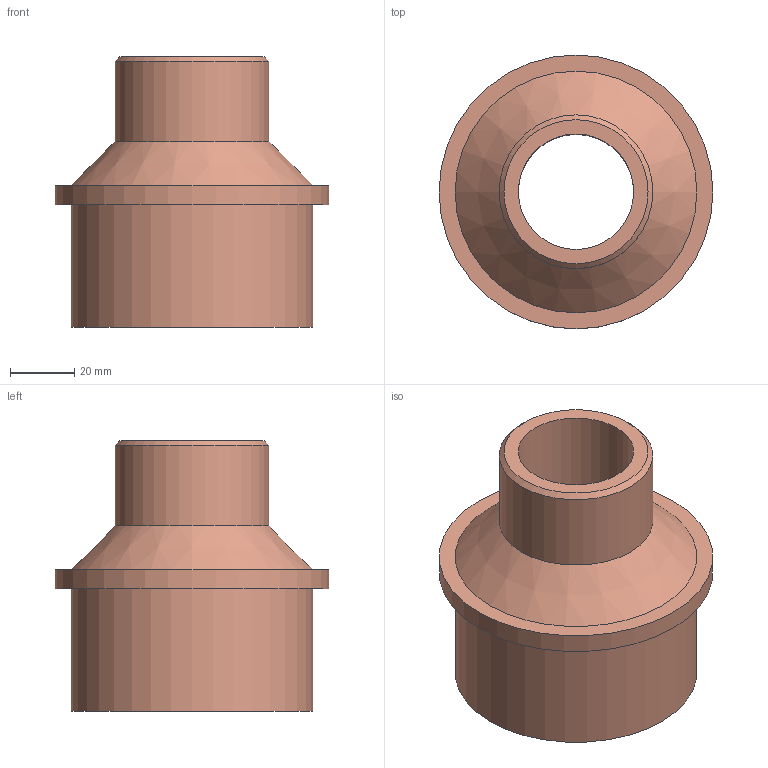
import cadquery as cq

flange_diameter = 85.0
body_diameter = 75.0
neck_diameter = 47.7
bore_diameter = 35.8

total_height = 84.0
body_height = 38.0
flange_thickness = 6.0
neck_chamfer = 1.5

flange_top = body_height + flange_thickness
cone_height = (body_diameter - neck_diameter) / 2
cone_top = flange_top + cone_height


def outer_body():
    """Revolve the stepped outside: body, flange, cone and chamfered neck."""
    body_radius = body_diameter / 2
    flange_radius = flange_diameter / 2
    neck_radius = neck_diameter / 2
    half_profile = (
        cq.Workplane("XZ")
        .moveTo(0, 0)
        .lineTo(body_radius, 0)
        .lineTo(body_radius, body_height)
        .lineTo(flange_radius, body_height)
        .lineTo(flange_radius, flange_top)
        .lineTo(body_radius, flange_top)
        .lineTo(neck_radius, cone_top)
        .lineTo(neck_radius, total_height - neck_chamfer)
        .lineTo(neck_radius - neck_chamfer, total_height)
        .lineTo(0, total_height)
        .close()
    )
    return half_profile.revolve(360, (0, 0, 0), (0, 1, 0))


def through_bore():
    """Straight bore running the full height of the part."""
    return cq.Workplane("XY").circle(bore_diameter / 2).extrude(total_height)


result = outer_body().cut(through_bore())